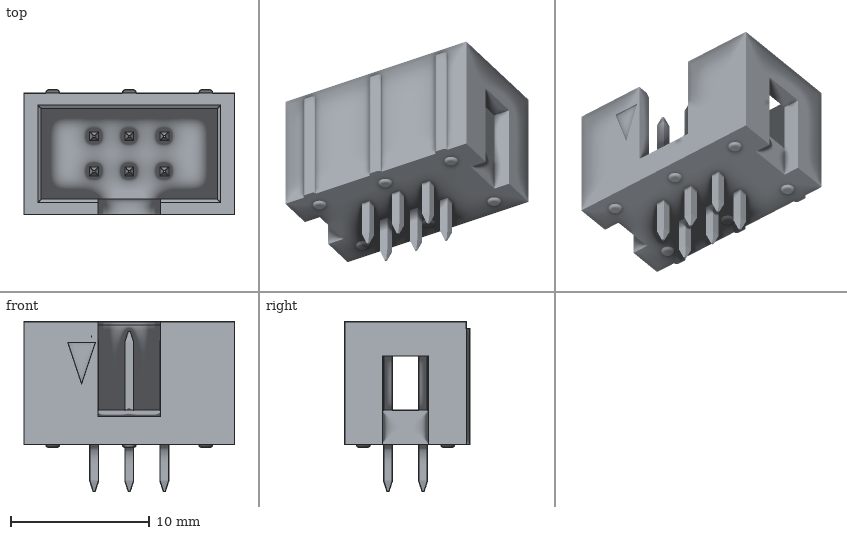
import cadquery as cq

LENGTH = 15.24
WIDTH = 8.8
HEIGHT = 8.9
END_WALL = 1.25
SIDE_WALL = 1.125
FLOOR_HEIGHT = 2.5
RIM_CHAMFER = 0.25
CAVITY_LENGTH = LENGTH - 2 * END_WALL
CAVITY_WIDTH = WIDTH - 2 * SIDE_WALL

KEY_SLOT_WIDTH = 4.5
KEY_SLOT_BOTTOM = 2.05

WINDOW_WIDTH = 3.3
WINDOW_TOP = 6.4

MARK_WIDTH = 2.0
MARK_HEIGHT = 3.0
MARK_TOP_GAP = 1.5
MARK_TOP = HEIGHT - MARK_TOP_GAP
MARK_CENTRE_X = -3.45
MARK_DEPTH = 0.1

BUMP_PITCH = 5.54
BUMP_XS = [-BUMP_PITCH, 0, BUMP_PITCH]
RIB_WIDTH = 1.0
RIB_DEPTH = 0.25
RIB_TOP_GAP = 0.5
RIB_HEIGHT = HEIGHT - RIB_TOP_GAP
STANDOFF_DIAMETER = 1.0
STANDOFF_HEIGHT = 0.2
STANDOFF_Y = 3.05

PIN_COLUMNS = 3
PIN_ROWS = 2
PIN_PITCH = 2.54
PIN_SIDE = 0.64
PIN_TIP_SIDE = 0.14
PIN_POINT = 0.77
PIN_BOTTOM = -3.4
PIN_TOP_GAP = 0.7
PIN_TOP = HEIGHT - PIN_TOP_GAP
PIN_SPOTS = [
    ((column - (PIN_COLUMNS - 1) / 2) * PIN_PITCH, (row - (PIN_ROWS - 1) / 2) * PIN_PITCH)
    for column in range(PIN_COLUMNS)
    for row in range(PIN_ROWS)
]


def box_on(z, length, width, height):
    """Box centred on X and Y, standing on the given Z."""
    return cq.Workplane("XY").workplane(offset=z).rect(length, width).extrude(height)


def make_shell():
    """Open-topped box with a chamfered inner rim."""
    shell = box_on(0, LENGTH, WIDTH, HEIGHT)
    cavity = box_on(FLOOR_HEIGHT, CAVITY_LENGTH, CAVITY_WIDTH, HEIGHT - FLOOR_HEIGHT)
    rim = (
        cq.Workplane("XY")
        .workplane(offset=HEIGHT - RIM_CHAMFER)
        .rect(CAVITY_LENGTH, CAVITY_WIDTH)
        .workplane(offset=RIM_CHAMFER)
        .rect(CAVITY_LENGTH + 2 * RIM_CHAMFER, CAVITY_WIDTH + 2 * RIM_CHAMFER)
        .loft(ruled=True)
    )
    return shell.cut(cavity).cut(rim)


def make_key_slot():
    """Open-topped notch in the middle of the front wall."""
    slot = box_on(KEY_SLOT_BOTTOM, KEY_SLOT_WIDTH, SIDE_WALL, HEIGHT - KEY_SLOT_BOTTOM)
    return slot.translate((0, -(WIDTH - SIDE_WALL) / 2, 0))


def make_window(side):
    """Opening in one end wall: side is -1 for the -X end and 1 for the +X end."""
    window = box_on(0, END_WALL, WINDOW_WIDTH, WINDOW_TOP)
    return window.translate((side * (LENGTH - END_WALL) / 2, 0, 0))


def make_mark():
    """Triangle pointing down, cut inward from the front face."""
    corners = [
        (MARK_CENTRE_X - MARK_WIDTH / 2, MARK_TOP),
        (MARK_CENTRE_X + MARK_WIDTH / 2, MARK_TOP),
        (MARK_CENTRE_X, MARK_TOP - MARK_HEIGHT),
    ]
    front = cq.Workplane("XZ", origin=(0, -WIDTH / 2, 0))
    return front.polyline(corners).close().extrude(-MARK_DEPTH)


def make_rib(x):
    """Upright rib: an obround bar whose front half lies inside the back wall."""
    return cq.Workplane("XY", origin=(x, WIDTH / 2, 0)).slot2D(RIB_WIDTH, 2 * RIB_DEPTH).extrude(RIB_HEIGHT)


def make_standoff(x, y):
    """Round foot with a fully rounded lower edge; its upper half lies inside the housing."""
    foot_top = cq.Workplane("XY", origin=(x, y, STANDOFF_HEIGHT))
    foot = foot_top.circle(STANDOFF_DIAMETER / 2).extrude(-2 * STANDOFF_HEIGHT)
    return foot.faces("<Z").edges().fillet(STANDOFF_HEIGHT)


def make_pin(x, y):
    """Square pin running through the floor, pointed at both ends."""
    bar_bottom = PIN_BOTTOM + PIN_POINT
    bar_top = PIN_TOP - PIN_POINT
    pin = box_on(bar_bottom, PIN_SIDE, PIN_SIDE, bar_top - bar_bottom)
    for base, length in [(bar_bottom, -PIN_POINT), (bar_top, PIN_POINT)]:
        point = (
            cq.Workplane("XY")
            .workplane(offset=base)
            .rect(PIN_SIDE, PIN_SIDE)
            .workplane(offset=length)
            .rect(PIN_TIP_SIDE, PIN_TIP_SIDE)
            .loft(ruled=True)
        )
        pin = pin.union(point)
    return pin.translate((x, y, 0))


def make_housing():
    """Shell with its openings, ribs, standoffs and one hole for each pin."""
    housing = make_shell().cut(make_key_slot()).cut(make_mark())
    for side in (-1, 1):
        housing = housing.cut(make_window(side))
    for x in BUMP_XS:
        housing = housing.union(make_rib(x))
        for y in (-STANDOFF_Y, STANDOFF_Y):
            housing = housing.union(make_standoff(x, y))
    for x, y in PIN_SPOTS:
        pin_hole = box_on(0, PIN_SIDE, PIN_SIDE, FLOOR_HEIGHT).translate((x, y, 0))
        housing = housing.cut(pin_hole)
    return housing


housing = make_housing()
pins = [make_pin(x, y) for x, y in PIN_SPOTS]

result = cq.Compound.makeCompound([housing.val(), *[pin.val() for pin in pins]])